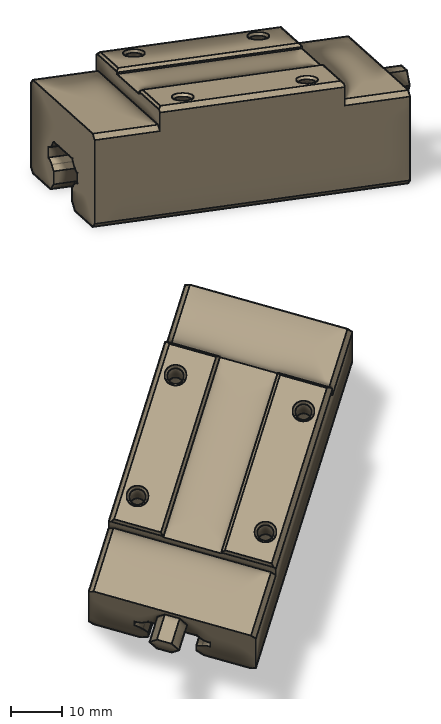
import cadquery as cq
import math

width = 34.0
total_length = 71.5
height = 23.3

pin_length = 5.4
body_length = total_length - pin_length
end_cap_height = 19.45
saddle_length = 38.75
edge_chamfer = 1.0

channel_width = 11.7
channel_depth = 1.0
channel_chamfer = 0.65
pad_end_chamfer = 0.5

rail_roof_half = 4.9
rail_roof_z = 10.45
groove_half = 7.7
groove_top_z = 8.4
groove_bottom_z = 6.15
rail_neck_half = 4.85
neck_top_z = 4.3
entry_chamfer = 1.6

flank_width = 1.7
flank_height = 0.8
flank_bulge = 0.165

hole_diameter = 3.2
hole_mouth_diameter = 4.3
hole_spacing = 26.0
hole_depth = 6.0
drill_tip_angle = 118.0

pin_across_flats = 5.2
pin_center_z = 15.1


def chamfered_block(length, top_z):
    """Block centred on Y with its four lengthwise edges chamfered."""
    block = cq.Workplane("XY").box(width, length, top_z, centered=(True, True, False))
    return block.edges("|Y").chamfer(edge_chamfer)


def pad_end_cutter(end):
    """Wedge that chamfers the upper saddle edge at one end (+1 or -1 along Y)."""
    end_y = end * saddle_length / 2
    return (
        cq.Workplane("YZ")
        .moveTo(end_y, height)
        .lineTo(end_y - end * pad_end_chamfer, height)
        .lineTo(end_y, height - pad_end_chamfer)
        .close()
        .extrude(width / 2, both=True)
    )


def channel():
    """Channel along Y with chamfered upper edges."""
    half = channel_width / 2
    shoulder_z = height - channel_chamfer
    return (
        cq.Workplane("XZ")
        .moveTo(-half, height - channel_depth)
        .lineTo(half, height - channel_depth)
        .lineTo(half, shoulder_z)
        .lineTo(half + channel_chamfer, height)
        .lineTo(-half - channel_chamfer, height)
        .lineTo(-half, shoulder_z)
        .close()
        .extrude(body_length / 2, both=True)
    )


def rail_opening():
    """Half profile of the rail opening, mirrored about X = 0 and run the full length."""
    half = (
        cq.Workplane("XZ")
        .moveTo(0, 0)
        .lineTo(rail_neck_half + entry_chamfer, 0)
        .lineTo(rail_neck_half, entry_chamfer)
        .lineTo(rail_neck_half, neck_top_z)
        .lineTo(groove_half - flank_width, groove_bottom_z - flank_height)
        .sagittaArc((groove_half, groove_bottom_z), flank_bulge)
        .lineTo(groove_half, groove_top_z)
        .sagittaArc((groove_half - flank_width, groove_top_z + flank_height), flank_bulge)
        .lineTo(rail_roof_half, rail_roof_z)
        .lineTo(0, rail_roof_z)
        .close()
        .extrude(body_length / 2, both=True)
    )
    return half.union(half.mirror("YZ"))


def mounting_hole():
    """Revolved drill shape hanging from Z = 0: chamfered mouth, bore and conical tip."""
    radius = hole_diameter / 2
    mouth_radius = hole_mouth_diameter / 2
    tip_height = radius / math.tan(math.radians(drill_tip_angle / 2))
    return (
        cq.Workplane("XZ")
        .moveTo(0, 0)
        .lineTo(mouth_radius, 0)
        .lineTo(radius, radius - mouth_radius)
        .lineTo(radius, -hole_depth)
        .lineTo(0, -hole_depth - tip_height)
        .close()
        .revolve(360, (0, 0, 0), (0, 1, 0))
    )


def hex_pin():
    """Hexagonal pin with flats facing up and down, projecting toward +Y."""
    across_corners = pin_across_flats / math.cos(math.pi / 6)
    return (
        cq.Workplane("XZ", origin=(0, body_length / 2, pin_center_z))
        .polygon(6, across_corners)
        .extrude(-pin_length)
    )


result = chamfered_block(body_length, end_cap_height).union(chamfered_block(saddle_length, height))
for end in (-1, 1):
    result = result.cut(pad_end_cutter(end))
result = result.cut(channel()).cut(rail_opening())
for side in (-1, 1):
    for end in (-1, 1):
        location = (side * hole_spacing / 2, end * hole_spacing / 2, height)
        result = result.cut(mounting_hole().translate(location))
result = result.union(hex_pin())